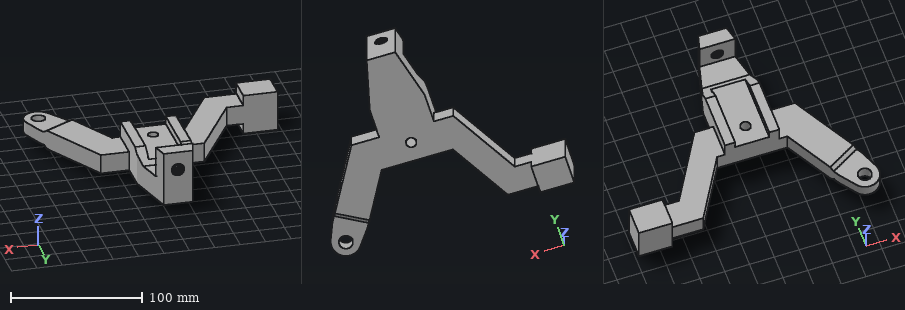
import cadquery as cq
import math


body_half_width = 22.0
body_height = 28.5
body_straight_length = 50.7
body_top_length = 45.0
shelf_start = 60.5
shelf_height = 19.2
lug_half_width = 11.5
lug_height = 43.7
lug_thickness = 11.8
tail_length = 91.5
lug_hole_height = 28.5
thread_minor_diameter = 8.7
thread_major_diameter = 10.0
thread_turns = 8

groove_width = 27.5
groove_floor = 22.1
body_hole_offset = 15.3
body_hole_diameter = 8.0

arm_height = 15.7
arm_root_depth = 27.0
arm_angle = math.radians(60)
inner_corner_x = 28.4

left_outer_corner_x = 37.3
left_foot_back = -28.0
left_foot_front = -49.1
block_left = -109.4
block_width = 27.2
block_depth = 23.0
block_height = 32.5

right_outer_corner_x = 44.0
eye_x = 73.2
eye_radius = 11.7
eye_hole_diameter = 10.7
tongue_length = 19.6
taper_length = 14.8
tongue_step = 2.3
step_run = 3.5


def make_body():
    """Stepped side profile trimmed to the tapering plan outline."""
    side = (
        cq.Workplane("YZ")
        .polyline([
            (0, 0),
            (tail_length, 0),
            (tail_length, lug_height),
            (tail_length - lug_thickness, lug_height),
            (tail_length - lug_thickness, shelf_height),
            (shelf_start, shelf_height),
            (body_top_length, body_height),
            (0, body_height),
        ])
        .close()
        .extrude(body_half_width, both=True)
    )
    plan = (
        cq.Workplane("XY")
        .polyline([
            (-body_half_width, 0),
            (body_half_width, 0),
            (body_half_width, body_straight_length),
            (lug_half_width, tail_length),
            (-lug_half_width, tail_length),
            (-body_half_width, body_straight_length),
        ])
        .close()
        .extrude(lug_height)
    )
    return side.intersect(plan)


def make_left_arm():
    """Cranked arm carrying a block centred on its thickness."""
    outer_run = (arm_root_depth - left_foot_back) / math.tan(arm_angle)
    inner_run = -left_foot_front / math.tan(arm_angle)
    block_right = block_left + block_width
    arm = (
        cq.Workplane("XY")
        .polyline([
            (0, 0),
            (0, arm_root_depth),
            (-left_outer_corner_x, arm_root_depth),
            (-left_outer_corner_x - outer_run, left_foot_back),
            (block_right, left_foot_back),
            (block_right, left_foot_front),
            (-inner_corner_x - inner_run, left_foot_front),
            (-inner_corner_x, 0),
        ])
        .close()
        .extrude(arm_height)
    )
    block = cq.Workplane("XY").box(block_width, block_depth, block_height).translate(
        (block_left + block_width / 2, left_foot_back - block_depth / 2, arm_height / 2)
    )
    return arm.union(block)


def make_right_arm():
    """Straight sloping arm, stepped down on both faces to a rounded tongue."""
    along = (math.cos(arm_angle), -math.sin(arm_angle))
    across = (math.sin(arm_angle), math.cos(arm_angle))

    inner_side = inner_corner_x * across[0]
    outer_side = right_outer_corner_x * across[0] + arm_root_depth * across[1]
    half_width = (outer_side - inner_side) / 2
    axis_offset = (outer_side + inner_side) / 2
    eye_distance = (eye_x - axis_offset * across[0]) / along[0]
    tongue_start = eye_distance - tongue_length
    step_start = tongue_start - step_run

    def point(distance, side):
        """Plan position from distance along the arm and offset from its axis."""
        offset = axis_offset + side
        return (
            distance * along[0] + offset * across[0],
            distance * along[1] + offset * across[1],
        )

    taper_start = eye_distance - taper_length
    corner_angle = math.atan2(half_width, taper_length)
    tangent_angle = math.asin(eye_radius / math.hypot(taper_length, half_width))
    taper = corner_angle - tangent_angle
    tangent_distance = eye_distance + eye_radius * math.sin(taper)
    tangent_side = eye_radius * math.cos(taper)

    arm = (
        cq.Workplane("XY")
        .moveTo(0, 0)
        .lineTo(0, arm_root_depth)
        .lineTo(right_outer_corner_x, arm_root_depth)
        .lineTo(*point(taper_start, half_width))
        .lineTo(*point(tangent_distance, tangent_side))
        .threePointArc(
            point(eye_distance + eye_radius, 0),
            point(tangent_distance, -tangent_side),
        )
        .lineTo(*point(taper_start, -half_width))
        .lineTo(inner_corner_x, 0)
        .close()
        .extrude(arm_height)
    )

    arm_plane = cq.Plane(
        origin=(*point(0, 0), 0),
        xDir=(*along, 0),
        normal=(-across[0], -across[1], 0),
    )
    cut_end = eye_distance + 2 * eye_radius
    for face, inward in ((0, 1), (arm_height, -1)):
        tongue_face = face + inward * tongue_step
        relief = (
            cq.Workplane(arm_plane)
            .polyline([
                (step_start, face),
                (tongue_start, tongue_face),
                (cut_end, tongue_face),
                (cut_end, face),
            ])
            .close()
            .extrude(2 * half_width, both=True)
        )
        arm = arm.cut(relief)

    eye_hole = (
        cq.Workplane("XY")
        .center(*point(eye_distance, 0))
        .circle(eye_hole_diameter / 2)
        .extrude(arm_height)
    )
    return arm.cut(eye_hole)


def make_groove():
    """Open channel running out through the sloping rear of the body."""
    length = tail_length - lug_thickness
    return cq.Workplane("XY").box(
        groove_width, length, lug_height, centered=(True, False, False)
    ).translate((0, 0, groove_floor))


def make_body_hole():
    """Vertical hole through the groove floor."""
    return (
        cq.Workplane("XY")
        .center(0, body_hole_offset)
        .circle(body_hole_diameter / 2)
        .extrude(body_height)
    )


def make_lug_hole():
    """Tool for the hole through the upright lug, its thread taken as a row of V-shaped rings."""
    minor_radius = thread_minor_diameter / 2
    major_radius = thread_major_diameter / 2
    half_pitch = lug_thickness / thread_turns / 2
    profile = cq.Workplane("XY").lineTo(minor_radius, 0)
    for turn in range(thread_turns):
        crest = (2 * turn + 1) * half_pitch
        profile = profile.lineTo(major_radius, crest).lineTo(minor_radius, crest + half_pitch)
    tool = profile.lineTo(0, lug_thickness).close().revolve(360, (0, 0, 0), (0, 1, 0))
    return tool.translate((0, tail_length - lug_thickness, lug_hole_height))


result = (
    make_body()
    .union(make_left_arm())
    .union(make_right_arm())
    .cut(make_groove())
    .cut(make_body_hole())
    .cut(make_lug_hole())
)